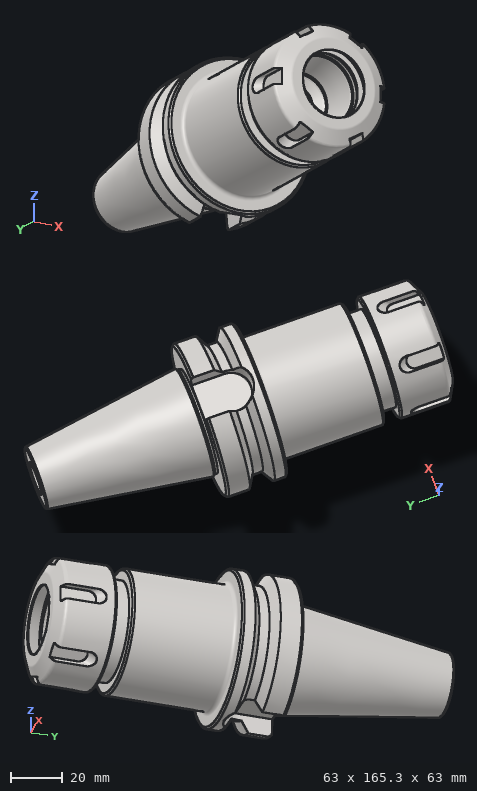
import cadquery as cq
import math


shank_end = 65.3
nose_end = -100.0

shank_end_radius = 12.7
gauge_radius = 22.2
shank_chamfer = 0.5
relief_radius = 21.5
relief_length = 0.8

flange_top = -2.0
flange_bottom = -27.1
flange_diameter = 63.0
flange_radius = flange_diameter / 2
flange_top_chamfer = 1.0
flange_bottom_chamfer = 0.8
groove_radius = 26.6
groove_top_rim = -11.5
groove_top_floor = -14.5
groove_bottom_floor = -18.7
groove_bottom_rim = -21.8

key_slot_width = 16.2
key_slot_floor = 22.7
key_slot_end = -23.5
key_slot_draft = 5

body_radius = 25.0
body_end = -69.6
body_chamfer = 0.8
root_fillet = 1.7
neck_radius = 20.2
neck_end = -89.6

hole_radius = 6.8
seat_radius = 13.7
seat_end_radius = 11.7
seat_angle = 8
seat_chamfer = 0.3
seat_chamfer_length = 1.0
counterbore_radius = 10.3
counterbore_chamfer = 0.8
counterbore_cone_angle = 60

nut_back = -76.0
nut_radius = 25.0
nut_back_chamfer = 0.8
nose_radius = 18.5
nose_angle = 28
nut_corner_fillet = 1.7
nose_fillet = 1.7
mouth_radius = 13.7
rim_length = 0.5
ring_groove_angle = 30
ring_groove_depth = 6.0
land_radius = 14.0
land_flare = 0.7
land_flare_length = 2.0

spanner_slot_count = 6
spanner_slot_width = 6.5
spanner_slot_floor = 22.0
spanner_slot_end = -80.4
spanner_slot_lean = 3.3
first_spanner_slot_angle = 90

edge_tolerance = 0.02


def revolve_about_y(points):
    """Turn a closed (radius, y) outline about the Y axis."""
    return cq.Workplane("XY").polyline(points).close().revolve(360, (0, 0, 0), (0, 1, 0))


def ring_edges(body, y):
    """Circular edges that lie at the height y along the axis."""
    return body.edges("%CIRCLE").edges(cq.selectors.BoxSelector(
        (-flange_radius, y - edge_tolerance, -flange_radius),
        (flange_radius, y + edge_tolerance, flange_radius), boundingbox=True))


def make_holder_blank():
    """Solid turned shape of shank, flange, body and neck."""
    taper_slope = (gauge_radius - shank_end_radius) / shank_end
    blank = revolve_about_y([
        (0, shank_end),
        (shank_end_radius - shank_chamfer, shank_end),
        (shank_end_radius + taper_slope * shank_chamfer, shank_end - shank_chamfer),
        (gauge_radius, 0),
        (relief_radius, -relief_length),
        (relief_radius, flange_top),
        (flange_radius - flange_top_chamfer, flange_top),
        (flange_radius, flange_top - flange_top_chamfer),
        (flange_radius, groove_top_rim),
        (groove_radius, groove_top_floor),
        (groove_radius, groove_bottom_floor),
        (flange_radius, groove_bottom_rim),
        (flange_radius, flange_bottom + flange_bottom_chamfer),
        (flange_radius - flange_bottom_chamfer, flange_bottom),
        (body_radius, flange_bottom),
        (body_radius, body_end + body_chamfer),
        (body_radius - body_chamfer, body_end),
        (neck_radius, body_end),
        (neck_radius, neck_end),
        (0, neck_end),
    ])
    root = ring_edges(blank, flange_bottom).edges(cq.selectors.RadiusNthSelector(0))
    return root.fillet(root_fillet)


def make_holder_bore():
    """Through hole with counterbore and collet seat opening at the neck end."""
    seat_start = neck_end + seat_chamfer_length
    seat_end = seat_start + (seat_radius - seat_end_radius) / math.tan(math.radians(seat_angle))
    cone_start = seat_end + counterbore_chamfer
    cone_slope = math.tan(math.radians(counterbore_cone_angle))
    cone_end = cone_start + (counterbore_radius - hole_radius) / cone_slope
    return revolve_about_y([
        (0, shank_end),
        (hole_radius, shank_end),
        (hole_radius, cone_end),
        (counterbore_radius, cone_start),
        (counterbore_radius + counterbore_chamfer, seat_end),
        (seat_end_radius, seat_end),
        (seat_radius, seat_start),
        (seat_radius + seat_chamfer, neck_end),
        (0, neck_end),
    ])


def make_key_slot():
    """Round-ended slot cutter, open towards the shank, on the +Z side."""
    half_width = key_slot_width / 2
    arc_start = key_slot_end + half_width
    return (
        cq.Workplane("XY", origin=(0, 0, key_slot_floor))
        .moveTo(-half_width, flange_top)
        .lineTo(-half_width, arc_start)
        .threePointArc((0, key_slot_end), (half_width, arc_start))
        .lineTo(half_width, flange_top)
        .close()
        .extrude(flange_radius - key_slot_floor, taper=-key_slot_draft)
    )


def make_holder():
    """Bored holder with a drive key slot on the +Z and -Z sides."""
    holder = make_holder_blank().cut(make_holder_bore())
    key_slot = make_key_slot()
    for angle in (0, 180):
        holder = holder.cut(key_slot.rotate((0, 0, 0), (0, 1, 0), angle))
    return holder


def make_nut_blank():
    """Turned nut that sits on the neck, with an inner groove behind the mouth rim."""
    corner = nose_end + (nut_radius - nose_radius) * math.tan(math.radians(nose_angle))
    rim_end = nose_end + rim_length
    groove_end = nose_end + ring_groove_depth
    ring_groove_radius = mouth_radius + (groove_end - rim_end) * math.tan(math.radians(ring_groove_angle))
    recess_radius = land_radius + land_flare
    recess_start = groove_end + land_flare_length
    blank = revolve_about_y([
        (neck_radius, nut_back),
        (nut_radius - nut_back_chamfer, nut_back),
        (nut_radius, nut_back - nut_back_chamfer),
        (nut_radius, corner),
        (nose_radius, nose_end),
        (mouth_radius, nose_end),
        (mouth_radius, rim_end),
        (ring_groove_radius, groove_end),
        (land_radius, groove_end),
        (recess_radius, recess_start),
        (recess_radius, neck_end),
        (neck_radius, neck_end),
    ])
    blank = ring_edges(blank, corner).fillet(nut_corner_fillet)
    nose_edge = ring_edges(blank, nose_end).edges(cq.selectors.RadiusNthSelector(1))
    return nose_edge.fillet(nose_fillet)


def slot_outline(plane, end):
    """Outline of a spanner slot with its round end reaching to y = end."""
    half_width = spanner_slot_width / 2
    arc_start = end - half_width
    return (
        plane.moveTo(-half_width, nose_end)
        .lineTo(-half_width, arc_start)
        .threePointArc((0, end), (half_width, arc_start))
        .lineTo(half_width, nose_end)
        .close()
    )


def make_spanner_slot():
    """Slot cutter on the +Z side whose round end leans back from floor to rim."""
    floor = cq.Workplane("XY", origin=(0, 0, spanner_slot_floor))
    outline = slot_outline(floor, spanner_slot_end - spanner_slot_lean)
    rim = outline.workplane(offset=nut_radius - spanner_slot_floor)
    return slot_outline(rim, spanner_slot_end).loft(ruled=True)


def make_nut():
    """Collet nut with spanner slots spaced evenly around it."""
    nut = make_nut_blank()
    spanner_slot = make_spanner_slot()
    for i in range(spanner_slot_count):
        angle = first_spanner_slot_angle + i * 360 / spanner_slot_count
        nut = nut.cut(spanner_slot.rotate((0, 0, 0), (0, 1, 0), angle))
    return nut


holder = make_holder()
nut = make_nut()

result = cq.Compound.makeCompound([holder.solids().val(), nut.solids().val()])